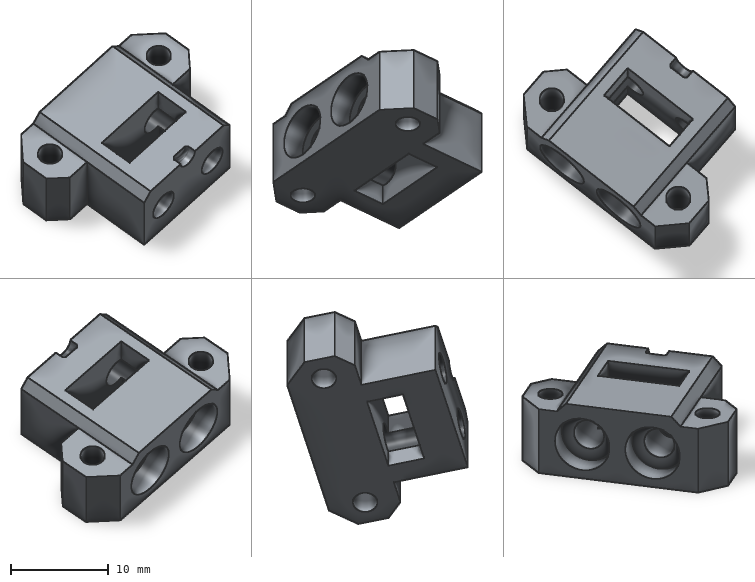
import cadquery as cq

length = 15.18
body_width = 13.18
body_center_y = -0.02
height = 8.21
top_chamfer = 0.99

ear_span = 21.9
ear_length = 7.35
ear_height = height - top_chamfer
ear_front_chamfer = 2.47
ear_back_chamfer = 1.7
screw_diameter = 2.5
screw_x = 3.85
screw_spacing = 16.73

bore_diameter = 3.2
counterbore_diameter = 5.8
counterbore_depth = 2.5
bore_spacing = 7.5
bore_center_y = 0.1
bore_z = 3.85

window_length = 3.79
window_width = 8.65

notch_diameter = 2.21
notch_depth = 1.15
notch_end_fillet = 0.33


def x_cylinder(diameter, x_start, x_length, y, z):
    """Cylinder along +X starting at x_start."""
    return (
        cq.Workplane("YZ", origin=(x_start, y, z))
        .circle(diameter / 2)
        .extrude(x_length)
    )


def make_body():
    return (
        cq.Workplane("XY", origin=(0, body_center_y, 0))
        .box(length, body_width, height, centered=(False, True, False))
        .edges("|X and >Z")
        .chamfer(top_chamfer)
    )


def make_ears():
    slab = cq.Workplane("XY").box(ear_length, ear_span, ear_height, centered=(False, True, False))
    slab = slab.edges("|Z and <X").chamfer(ear_front_chamfer)
    slab = slab.edges("|Z and >X").chamfer(ear_back_chamfer)
    screw_points = [(screw_x, side * screw_spacing / 2) for side in (-1, 1)]
    holes = cq.Workplane("XY").pushPoints(screw_points).circle(screw_diameter / 2).extrude(ear_height)
    return slab.cut(holes)


def make_window():
    return (
        cq.Workplane("XY", origin=(ear_length, 0, 0))
        .box(window_length, window_width, height, centered=(False, True, False))
    )


def make_notch():
    notch = x_cylinder(notch_diameter, length - notch_depth, notch_depth, bore_center_y, height)
    return notch.faces("<X").edges().fillet(notch_end_fillet)


result = make_body().union(make_ears())

for side in (-1, 1):
    bore_y = bore_center_y + side * bore_spacing / 2
    result = result.cut(x_cylinder(bore_diameter, 0, length, bore_y, bore_z))
    result = result.cut(x_cylinder(counterbore_diameter, 0, counterbore_depth, bore_y, bore_z))

result = result.cut(make_window()).cut(make_notch())